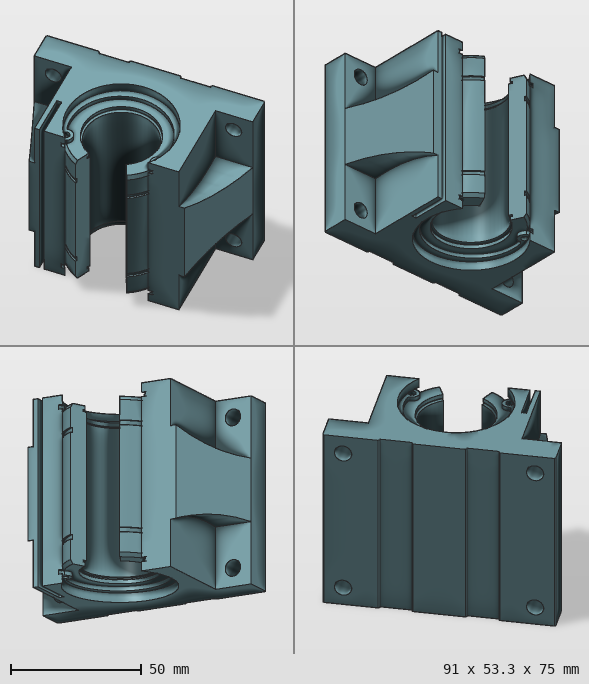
import cadquery as cq
import math


LENGTH = 75.0
FLANGE_WIDTH = 91.0
FLANGE_THICKNESS = 12.0
BLOCK_WIDTH = 60.0
MOUNTING_FACE_Y = 33.5
OPEN_FACE_Y = -14.4
FLANGE_FACE_Y = MOUNTING_FACE_Y - FLANGE_THICKNESS
EDGE_CHAMFER = 0.5

CHANNEL_WIDTH = 12.5
CHANNEL_DEPTH = 1.0
CHANNEL_CENTER_X = 17.0

SLOT_WIDTH = 2.0
SLOT_CENTER_X = -27.0
SLOT_END_Y = 2.6

HOLE_DIAMETER = 6.65
HOLE_SPACING_X = 75.0
HOLE_SPACING_Z = 60.0

GUSSET_TIP_X = 32.35
GUSSET_ROOT_HALF_HEIGHT = 12.65
GUSSET_TIP_HALF_HEIGHT = 18.7
GUSSET_ARC_RADIUS = 72.5

BEARING_DIAMETER = 45.0
BEARING_LENGTH = 64.0
SHAFT_BORE_DIAMETER = 30.0
OPENING_WIDTH = 15.0
OPENING_ANGLE = 50.0
BEARING_CHAMFER_LENGTH = 1.6
BEARING_CHAMFER_DEPTH = 1.0
BEARING_GROOVE_SPAN = 44.5
BEARING_GROOVE_WIDTH = 1.85
BEARING_GROOVE_DIAMETER = 43.5
MOUTH_DIAMETER = 31.4
MOUTH_DEPTH = 1.6
LIP_GROOVE_DIAMETER = 33.0
LIP_GROOVE_WIDTH = 0.8

RING_OUTER_DIAMETER = 47.5
RING_THICKNESS = 1.75
RING_INNER_DIAMETER = 41.4
RING_INNER_OFFSET_Y = -1.25
LUG_RADIUS = 3.0
LUG_PITCH_RADIUS = 21.3
LUG_ANGLE = 26.4
LUG_HOLE_DIAMETER = 3.0
LUG_FILLET = 1.2

HALF_BEARING = BEARING_LENGTH / 2
OVERSIZE = 2.0


def upright_box(x_min, x_max, y_min, y_max, height):
    """Box centred on Z = 0."""
    return (
        cq.Workplane("XY")
        .center((x_min + x_max) / 2, (y_min + y_max) / 2)
        .rect(x_max - x_min, y_max - y_min)
        .extrude(height / 2, both=True)
    )


def ring_seat(side):
    """Disc filling the retaining ring groove at one end (side is +1 or -1)."""
    z_start = HALF_BEARING if side > 0 else -HALF_BEARING - RING_THICKNESS
    return cq.Workplane("XY", origin=(0, 0, z_start)).circle(RING_OUTER_DIAMETER / 2).extrude(RING_THICKNESS)


def make_gusset(side):
    """Tapered gusset between flange and block; its two end faces are one arc each."""
    root_x = FLANGE_WIDTH / 2
    inner_x = BLOCK_WIDTH / 2
    plan = (
        cq.Workplane("XY")
        .polyline([
            (side * inner_x, FLANGE_FACE_Y),
            (side * root_x, FLANGE_FACE_Y),
            (side * GUSSET_TIP_X, OPEN_FACE_Y),
            (side * inner_x, OPEN_FACE_Y),
        ])
        .close()
        .extrude(LENGTH / 2, both=True)
    )
    side_profile = (
        cq.Workplane("YZ")
        .moveTo(FLANGE_FACE_Y, -GUSSET_ROOT_HALF_HEIGHT)
        .lineTo(FLANGE_FACE_Y, GUSSET_ROOT_HALF_HEIGHT)
        .radiusArc((OPEN_FACE_Y, GUSSET_TIP_HALF_HEIGHT), GUSSET_ARC_RADIUS)
        .lineTo(OPEN_FACE_Y, -GUSSET_TIP_HALF_HEIGHT)
        .radiusArc((FLANGE_FACE_Y, -GUSSET_ROOT_HALF_HEIGHT), GUSSET_ARC_RADIUS)
        .close()
        .extrude(FLANGE_WIDTH, both=True)
    )
    return plan.intersect(side_profile)


def make_housing():
    half_flange = FLANGE_WIDTH / 2
    half_block = BLOCK_WIDTH / 2
    body = upright_box(-half_flange, half_flange, FLANGE_FACE_Y, MOUNTING_FACE_Y, LENGTH)

    for side in (-1, 1):
        center_x = side * CHANNEL_CENTER_X
        body = body.cut(upright_box(
            center_x - CHANNEL_WIDTH / 2,
            center_x + CHANNEL_WIDTH / 2,
            MOUNTING_FACE_Y - CHANNEL_DEPTH,
            MOUNTING_FACE_Y + OVERSIZE,
            LENGTH + OVERSIZE,
        ))
    body = body.edges("|Z").edges(">Y").chamfer(EDGE_CHAMFER)

    body = body.union(upright_box(-half_block, half_block, OPEN_FACE_Y, FLANGE_FACE_Y, LENGTH))
    for side in (-1, 1):
        body = body.union(make_gusset(side))

    bore = cq.Workplane("XY").circle(BEARING_DIAMETER / 2).extrude(LENGTH, both=True)
    body = body.cut(bore)
    for side in (-1, 1):
        body = body.cut(ring_seat(side))

    body = body.cut(upright_box(
        SLOT_CENTER_X - SLOT_WIDTH / 2,
        SLOT_CENTER_X + SLOT_WIDTH / 2,
        OPEN_FACE_Y - OVERSIZE,
        SLOT_END_Y,
        LENGTH + OVERSIZE,
    ))

    holes = (
        cq.Workplane("XZ", origin=(0, MOUNTING_FACE_Y, 0))
        .rect(HOLE_SPACING_X, HOLE_SPACING_Z, forConstruction=True)
        .vertices()
        .circle(HOLE_DIAMETER / 2)
        .extrude(FLANGE_THICKNESS)
    )
    return body.cut(holes)


def make_bearing():
    """Open sleeve: a revolved half section, mirrored about Z = 0, then slotted."""
    outer_r = BEARING_DIAMETER / 2
    groove_r = BEARING_GROOVE_DIAMETER / 2
    bore_r = SHAFT_BORE_DIAMETER / 2
    mouth_r = MOUTH_DIAMETER / 2
    lip_r = LIP_GROOVE_DIAMETER / 2
    groove_top = BEARING_GROOVE_SPAN / 2
    groove_bottom = groove_top - BEARING_GROOVE_WIDTH
    lip_top = HALF_BEARING - MOUTH_DEPTH
    lip_bottom = lip_top - LIP_GROOVE_WIDTH
    half = (
        cq.Workplane("XZ")
        .polyline([
            (bore_r, 0),
            (outer_r, 0),
            (outer_r, groove_bottom),
            (groove_r, groove_bottom),
            (groove_r, groove_top),
            (outer_r, groove_top),
            (outer_r, HALF_BEARING - BEARING_CHAMFER_LENGTH),
            (outer_r - BEARING_CHAMFER_DEPTH, HALF_BEARING),
            (mouth_r, HALF_BEARING),
            (mouth_r, lip_top),
            (lip_r, lip_top),
            (lip_r, lip_bottom),
            (bore_r, lip_bottom),
        ])
        .close()
        .revolve(360, (0, 0, 0), (0, 1, 0))
    )
    sleeve = half.union(half.mirror("XY"))

    near_x = OPENING_WIDTH / 2
    near_y = -math.sqrt(bore_r ** 2 - near_x ** 2)
    far_y = -BEARING_DIAMETER
    flare = math.tan(math.radians(OPENING_ANGLE / 2))
    far_x = near_x + (near_y - far_y) * flare
    tip_x = near_x + near_y * flare
    opening = (
        cq.Workplane("XY")
        .polyline([(-tip_x, 0), (tip_x, 0), (far_x, far_y), (-far_x, far_y)])
        .close()
        .extrude(BEARING_LENGTH, both=True)
    )
    return sleeve.cut(opening)


def make_retaining_ring(side):
    """Internal retaining ring with a drilled lug at each of its two ends."""
    seat = ring_seat(side)
    z_start = seat.val().BoundingBox().zmin
    plane = cq.Workplane("XY", origin=(0, 0, z_start))

    inner = plane.center(0, RING_INNER_OFFSET_Y).circle(RING_INNER_DIAMETER / 2).extrude(RING_THICKNESS)
    ring = seat.cut(inner)

    end_angle = math.radians(LUG_ANGLE) + math.asin(LUG_RADIUS / LUG_PITCH_RADIUS)
    gap_y = -RING_OUTER_DIAMETER
    gap_x = -gap_y / math.tan(end_angle)
    gap = plane.polyline([(0, 0), (gap_x, gap_y), (-gap_x, gap_y)]).close().extrude(RING_THICKNESS)
    ring = ring.cut(gap)

    lug_x = LUG_PITCH_RADIUS * math.cos(math.radians(LUG_ANGLE))
    lug_y = -LUG_PITCH_RADIUS * math.sin(math.radians(LUG_ANGLE))
    lug_centers = [(-lug_x, lug_y), (lug_x, lug_y)]
    lugs = plane.pushPoints(lug_centers).circle(LUG_RADIUS).extrude(RING_THICKNESS)
    ring = ring.union(lugs.intersect(seat))

    corner_y = lug_y + LUG_RADIUS / 2
    corner_zone = cq.selectors.BoxSelector(
        (-RING_OUTER_DIAMETER, corner_y, z_start - OVERSIZE),
        (RING_OUTER_DIAMETER, 0, z_start + RING_THICKNESS + OVERSIZE),
    )
    ring = ring.edges("|Z").edges(corner_zone).fillet(LUG_FILLET)

    holes = plane.pushPoints(lug_centers).circle(LUG_HOLE_DIAMETER / 2).extrude(RING_THICKNESS)
    return ring.cut(holes)


housing = make_housing()
bearing = make_bearing()
retaining_rings = [make_retaining_ring(side) for side in (-1, 1)]

result = cq.Compound.makeCompound([
    housing.solids().val(),
    bearing.solids().val(),
    *[ring.solids().val() for ring in retaining_rings],
])